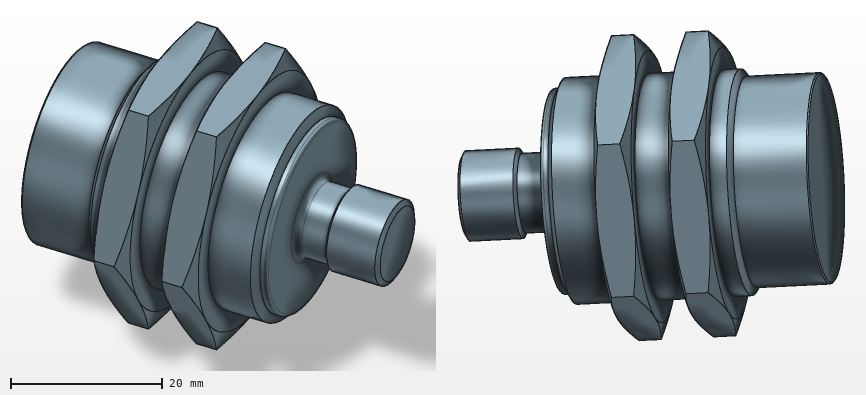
import cadquery as cq
import math

total_length = 48.5

cap_radius = 28.0 / 2
cap_length = 10.0
cap_edge = 0.2

barrel_radius = 30.0 / 2
barrel_chamfer_length = 0.75
barrel_end = 34.9

ring_radius = 27.3 / 2
ring_end = 36.0
ring_fillet = 0.45

neck_radius = 10.55 / 2
neck_end = 40.55
neck_fillet = 1.0
connector_radius = 12.0 / 2
connector_start = 41.0
connector_chamfer_length = 0.45
connector_chamfer_depth = 0.8

nut_flats = 36.0
nut_width = 5.0
nut_starts = (13.0, 23.0)
nut_face_radius = nut_flats / 2
nut_chamfer_angle = 20.0


def turned_body():
    """Revolve the half outline of the sensor, from the cap to the connector."""
    diagonal = math.sqrt(0.5)
    ring_arc_mid = (
        ring_end - ring_fillet * (1 - diagonal),
        ring_radius - ring_fillet * (1 - diagonal),
    )
    neck_arc_mid = (
        ring_end + neck_fillet * (1 - diagonal),
        neck_radius + neck_fillet * (1 - diagonal),
    )
    outline = (
        cq.Workplane("XY")
        .moveTo(0, 0)
        .lineTo(0, cap_radius - cap_edge)
        .lineTo(cap_edge, cap_radius)
        .lineTo(cap_length, cap_radius)
        .lineTo(cap_length + barrel_chamfer_length, barrel_radius)
        .lineTo(barrel_end - barrel_chamfer_length, barrel_radius)
        .lineTo(barrel_end, ring_radius)
        .lineTo(ring_end - ring_fillet, ring_radius)
        .threePointArc(ring_arc_mid, (ring_end, ring_radius - ring_fillet))
        .lineTo(ring_end, neck_radius + neck_fillet)
        .threePointArc(neck_arc_mid, (ring_end + neck_fillet, neck_radius))
        .lineTo(neck_end, neck_radius)
        .lineTo(connector_start, connector_radius)
        .lineTo(total_length - connector_chamfer_length, connector_radius)
        .lineTo(total_length, connector_radius - connector_chamfer_depth)
        .lineTo(total_length, 0)
        .close()
    )
    return outline.revolve(360, (0, 0, 0), (1, 0, 0))


def hex_nut(start):
    """Hexagon nut with corners on the Y axis and both faces chamfered conically."""
    corner_radius = nut_flats / 2 / math.cos(math.pi / 6)
    chamfer_depth = (corner_radius - nut_face_radius) * math.tan(math.radians(nut_chamfer_angle))
    hexagon = cq.Workplane("YZ").polygon(6, 2 * corner_radius).extrude(nut_width)
    envelope = (
        cq.Workplane("XY")
        .moveTo(0, 0)
        .lineTo(0, nut_face_radius)
        .lineTo(chamfer_depth, corner_radius)
        .lineTo(nut_width - chamfer_depth, corner_radius)
        .lineTo(nut_width, nut_face_radius)
        .lineTo(nut_width, 0)
        .close()
        .revolve(360, (0, 0, 0), (1, 0, 0))
    )
    return hexagon.intersect(envelope).translate((start, 0, 0))


result = turned_body()
for nut_start in nut_starts:
    result = result.union(hex_nut(nut_start))